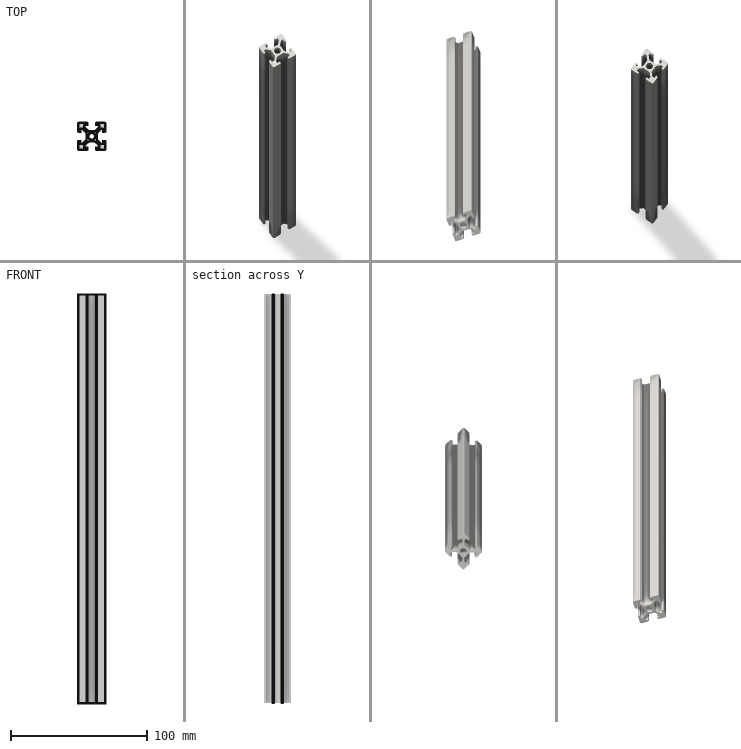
import cadquery as cq
import math

width = 20.0
length = 300.0
corner_radius = 1.0
bore_diameter = 5.0

slot_count = 4
slot_opening = 6.5
lip_thickness = 1.65
cavity_width = 11.0
core_width = 7.8
web_thickness = 1.5
slot_radius = 0.5


def make_bar():
    """Solid square bar with rounded long edges."""
    bar = cq.Workplane("XY").box(width, width, length)
    return bar.edges("|Z").fillet(corner_radius)


def edge_along_z(x, y):
    """Selector for the single long edge passing through (x, y)."""
    margin = slot_radius / 10
    return cq.selectors.BoxSelector((x - margin, y - margin, -length), (x + margin, y + margin, length))


def make_slot_cutter():
    """Slot on the +X side: a rounded mouth, a wide cavity and 45 degree flanks down to the floor."""
    face = width / 2
    lip_back = face - lip_thickness
    floor = core_width / 2
    half_opening = slot_opening / 2
    half_cavity = cavity_width / 2

    web_offset = web_thickness / math.sqrt(2)
    cavity_corners = [
        (lip_back, half_cavity),
        (half_cavity + web_offset, half_cavity),
        (floor, floor - web_offset),
    ]
    upper_side = [(lip_back, half_opening)] + cavity_corners
    lower_side = [(x, -y) for x, y in reversed(upper_side)]

    half_mouth = half_opening + slot_radius
    lip_start = face - slot_radius
    outline = cq.Workplane("XY", origin=(0, 0, -length / 2)).moveTo(face, half_mouth)
    outline = outline.radiusArc((lip_start, half_opening), -slot_radius)
    for point in upper_side + lower_side:
        outline = outline.lineTo(*point)
    outline = outline.lineTo(lip_start, -half_opening)
    outline = outline.radiusArc((face, -half_mouth), -slot_radius)
    cutter = outline.close().extrude(length)

    for x, y in cavity_corners:
        both_edges = edge_along_z(x, y) + edge_along_z(x, -y)
        cutter = cutter.edges(both_edges).fillet(slot_radius)
    return cutter


def cut_slots(body):
    """Cut the same slot into every side face."""
    cutter = make_slot_cutter()
    for index in range(slot_count):
        angle = index * 360 / slot_count
        body = body.cut(cutter.rotate((0, 0, 0), (0, 0, 1), angle))
    return body


def cut_bore(body):
    """Central bore through the full length."""
    return body.faces(">Z").workplane(origin=(0, 0, 0)).hole(bore_diameter)


result = cut_bore(cut_slots(make_bar()))